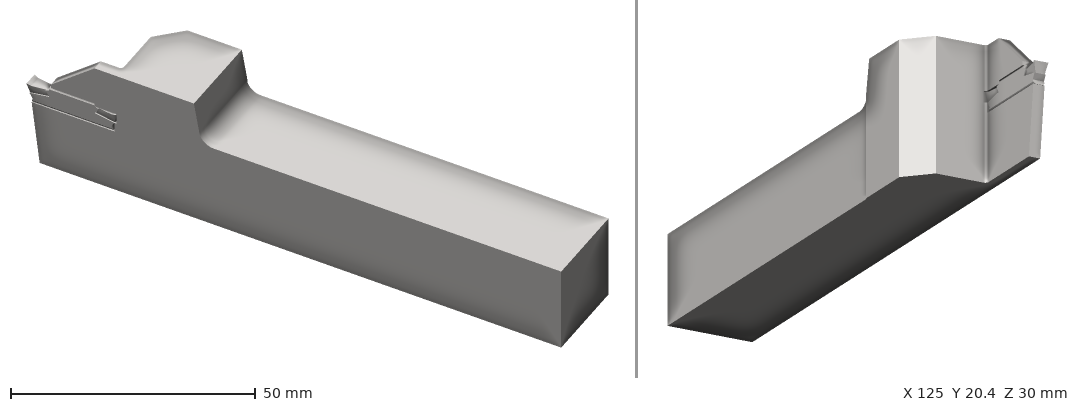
import cadquery as cq
import math

length = 125.0
head_width = 20.0
shank_width = 19.8
shank_start_x = 40.4
shank_height = 20.0
head_height = 30.0

nose_foot_x = 2.9
nose_relief_angle = 7.0
clamp_front_x = 5.5
clamp_lip_z = 21.6
head_front_x = 15.8
head_back_x = 39.0
head_back_angle = 10.0
head_back_radius = 3.4

blade_thickness = 2.6
blade_mid_y = blade_thickness / 2
body_front_x = 20.8
body_bevel = 5.5
blade_root_radius = 0.8

insert_length = 20.9
insert_bottom_z = 15.2
insert_top_z = 20.8
insert_foot_inset = 0.9
waist_inset = 1.2
waist_z = 16.2
heel_inset = 0.5
heel_z = 17.5
crown_end_x = 5.1
tip_ledge_z = 18.2
edge_bevel_height = 0.5
edge_bevel_depth = 0.4

edge_z = shank_height
edge_width = 3.4
land_length = 1.0
floor_z = 19.6
tip_inner_width = 2.0
tip_base_width = 2.1
tip_top_length = 4.2

pocket_end_bottom_x = 20.4


def make_profile():
    """Side outline of the whole holder in XZ, extruded across the head width."""
    lean = math.tan(math.radians(head_back_angle))
    head_foot_x = head_back_x + (head_height - shank_height) * lean
    seat_front_x = nose_foot_x - insert_bottom_z * math.tan(math.radians(nose_relief_angle))
    outline = [
        (nose_foot_x, 0),
        (length, 0),
        (length, shank_height),
        (head_foot_x, shank_height),
        (head_back_x, head_height),
        (head_front_x, head_height),
        (clamp_front_x, clamp_lip_z),
        (clamp_front_x, insert_bottom_z),
        (seat_front_x, insert_bottom_z),
    ]
    profile = cq.Workplane("XZ").polyline(outline).close().extrude(-head_width)

    inner_corner = cq.selectors.NearestToPointSelector((head_foot_x, head_width / 2, shank_height))
    return profile.edges(inner_corner).fillet(head_back_radius)


def make_shank_relief():
    """Thin layer taken off the +Y side, leaving the shank narrower than the head."""
    return cq.Workplane("XY").box(
        length - shank_start_x, head_width - shank_width, head_height, centered=False
    ).translate((shank_start_x, shank_width, 0))


def make_blade_clearance():
    """Space beside the blade, with a rounded root and a bevelled body corner."""
    root = blade_root_radius
    arc_centre_x = body_front_x - root
    arc_centre_y = blade_thickness + root
    diagonal = root * math.sqrt(0.5)
    return (
        cq.Workplane("XY")
        .moveTo(0, blade_thickness)
        .lineTo(arc_centre_x, blade_thickness)
        .threePointArc((arc_centre_x + diagonal, arc_centre_y - diagonal), (body_front_x, arc_centre_y))
        .lineTo(body_front_x, head_width - body_bevel)
        .lineTo(body_front_x + body_bevel, head_width)
        .lineTo(0, head_width)
        .close()
        .extrude(head_height)
    )


def make_pocket():
    """Insert seat, cut right through the blade."""
    outline = [
        (0, insert_bottom_z),
        (pocket_end_bottom_x, insert_bottom_z),
        (pocket_end_bottom_x, heel_z),
        (insert_length, heel_z),
        (insert_length, edge_z),
        (insert_length - crown_end_x, edge_z),
        (insert_length - crown_end_x, insert_top_z),
        (0, insert_top_z),
    ]
    return cq.Workplane("XZ").polyline(outline).close().extrude(-(blade_thickness + blade_root_radius))


def make_holder():
    return make_profile().cut(make_shank_relief()).cut(make_blade_clearance()).cut(make_pocket())


def make_insert_core():
    """Insert without its tips, with bevels along its long seating edges."""
    front_half = [
        (insert_foot_inset, insert_bottom_z),
        (waist_inset, waist_z),
        (heel_inset, heel_z),
        (crown_end_x, tip_ledge_z),
        (tip_top_length, floor_z),
        (crown_end_x, edge_z),
        (crown_end_x, insert_top_z),
    ]
    rear_half = [(insert_length - x, z) for x, z in reversed(front_half)]
    core = cq.Workplane("XZ").polyline(front_half + rear_half).close().extrude(-blade_thickness)
    section = (
        cq.Workplane("YZ")
        .polyline([
            (edge_bevel_depth, insert_bottom_z),
            (blade_thickness - edge_bevel_depth, insert_bottom_z),
            (blade_thickness, insert_bottom_z + edge_bevel_height),
            (blade_thickness, insert_top_z - edge_bevel_height),
            (blade_thickness - edge_bevel_depth, insert_top_z),
            (edge_bevel_depth, insert_top_z),
            (0, insert_top_z - edge_bevel_height),
            (0, insert_bottom_z + edge_bevel_height),
        ])
        .close()
        .extrude(insert_length)
    )
    return core.intersect(section)


def make_front_tip():
    """Tip that narrows downwards and away from its cutting edge."""
    def plan(start_x, end_x, start_width, end_width):
        return [
            (start_x, blade_mid_y - start_width / 2),
            (end_x, blade_mid_y - end_width / 2),
            (end_x, blade_mid_y + end_width / 2),
            (start_x, blade_mid_y + start_width / 2),
        ]

    tip = (
        cq.Workplane("XY", origin=(0, 0, heel_z))
        .polyline(plan(heel_inset, crown_end_x, tip_base_width, tip_inner_width))
        .close()
        .workplane(offset=edge_z - heel_z)
        .polyline(plan(0, tip_top_length, edge_width, tip_inner_width))
        .close()
        .loft(ruled=True)
    )
    chip_cut_width = 3 * edge_width
    chip_floor = (
        cq.Workplane("XZ", origin=(0, -edge_width, 0))
        .polyline([(0, edge_z), (land_length, floor_z), (crown_end_x, floor_z), (crown_end_x, edge_z)])
        .close()
        .extrude(-chip_cut_width)
    )
    return tip.cut(chip_floor)


def make_insert():
    insert = make_insert_core()
    front_tip = make_front_tip()
    rear_tip = front_tip.mirror("YZ", (insert_length / 2, 0, 0))
    return insert.union(front_tip).union(rear_tip)


holder = make_holder()
insert = make_insert()
result = cq.Compound.makeCompound([*holder.solids().vals(), *insert.solids().vals()])